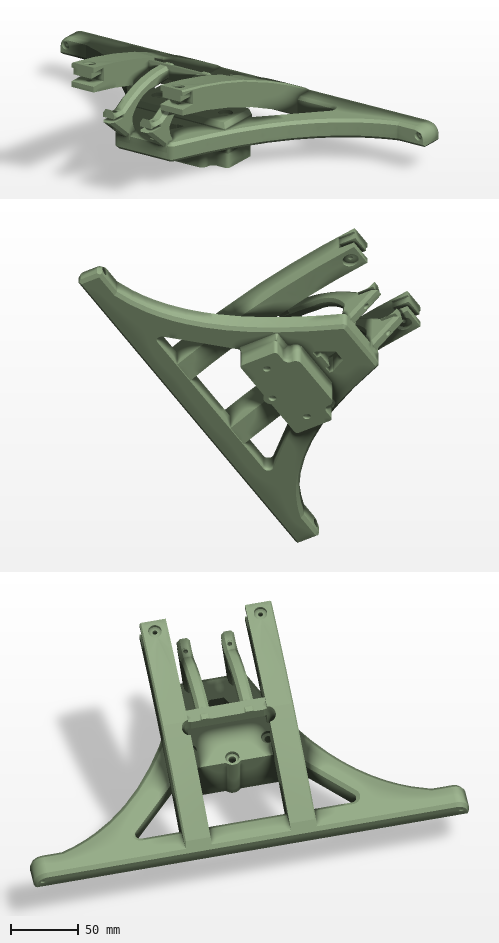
import cadquery as cq
import math


part_depth = 173.75
part_height = 87.83

plate_width = 330.0
plate_depth = 150.0
plate_thickness = 15.0
beam_depth = 20.0
wing_points = [(51.0, -97.0), (88.5, -49.5), (140.0, -beam_depth)]
nose_half_width = 25.5
nose_corner_radius = 4.0
tip_radius = 10.0
bevel_run = 3.0
bevel_drop = 2.0
bottom_bevel = 2.5

window_back_half_width = 89.0
window_front_half_width = 42.5
window_front_y = -69.0
window_corner_radius = 4.0

opening_back_y = -114.5
opening_side_y = -117.5
opening_front_y = -130.0
opening_half_width = 12.5
opening_front_half_width = 5.5
lip_width = 13.0
lip_top_y = -115.8
lip_bottom_y = -118.0

tip_hole_inset = 6.5
tip_hole_diameter = 3.6
tip_bore_diameter = 6.5
tip_bore_depth = 3.0

pad_half_width = 42.5
pad_front_y = -104.5
pad_height = 5.0
pad_bevel_run = 2.5
pad_bevel_drop = 4.0
block_height = 17.0
block_lobe_y = -100.4
block_front_y = -110.4
block_front_half_width = 27.5
block_step_radius = 4.9
block_corner_radius = 2.5
lobe_flare_height = 5.0
lobe_flare_spread = 2.0
center_flare_height = 1.5
center_flare_spread = 0.5
boss_diameter = 13.5
back_screw_y = -73.0
back_bore_diameter = 10.5
side_screw_x = 30.0
side_screw_y = -85.3
side_bore_diameter = 11.0
block_screw_diameter = 5.8
block_bore_depth = 3.0

arm_inner_x = 30.0
arm_outer_x = 50.0
arm_end_y = -171.0
arm_top_z = part_height - block_height
arm_back_y = -7.6
arm_rear_arc_point = (-43.0, 34.6)
arm_flat_back = (-80.0, 48.6)
arm_flat_front = (-90.0, 52.2)
arm_front_arc_point = (-130.0, 63.0)
arm_underside = [(-20.0, 1.0), (-100.0, 33.9), (arm_end_y, 51.0)]
arm_bevel = 1.2
jaw_depth = 13.5
jaw_bottom_z = 55.5
jaw_top_z = 61.5
jaw_relief_z = 66.5
jaw_relief_width = 2.0
end_screw_y = -162.4
end_screw_diameter = 3.6
arm_screw_x = 40.0
arm_bore_diameter = 10.0
arm_bore_depth = 3.0
arm_nut_diameter = 12.0
arm_nut_top_z = 52.0

bar_back_y = -90.3
bar_front_y = -99.0
bar_bottom_z = 41.2
bar_back_z = 49.8
bar_front_z = 53.0

strut_inner_x = 11.7
strut_outer_x = 21.7
strut_bevel = 2.3
strut_start_z = 50.9
strut_top_arc_point = (-136.0, 46.2)
seat_back_y = -157.0
seat_front_y = -164.0
seat_z = 36.0
strut_lip_z = 40.5
strut_lip_arc_point = (-168.2, 37.5)
slot_back_y = -158.0
slot_bottom_z = 30.8
slot_top_z = 33.6
strut_foot_z = 12.0
strut_foot_bottom_z = 7.5
strut_foot_overhang = 0.5
throat_start = (-119.0, 39.8)
throat_upper_point = (-136.0, 35.5)
throat_front = (-144.4, 27.0)
throat_lower_point = (-143.0, 20.0)
throat_end = (-136.0, 13.0)
strut_bore_diameter = 5.8


def extrude_x(profile, x_start, x_end):
    """Extrude a profile drawn in the YZ plane between two X positions."""
    return profile.extrude(x_end - x_start).translate((x_start, 0, 0))


def box_between(x_start, x_end, y_start, y_end, z_start, z_end):
    size = (x_end - x_start, y_end - y_start, z_end - z_start)
    return cq.Workplane("XY").box(*size, centered=False).translate((x_start, y_start, z_start))


def cylinder(x, y, z_low, z_high, diameter):
    return cq.Workplane("XY", origin=(x, y, z_low)).circle(diameter / 2).extrude(z_high - z_low)


def bevel_near(body, side, points, size):
    """Chamfer the edges of one X-facing side whose centres are closest to the (y, z) points."""
    face = body.faces(side)
    x = face.val().Center().x
    edges = [face.edges(cq.selectors.NearestToPointSelector((x, y, z))).val() for y, z in points]
    return body.newObject(edges).chamfer(size)


def both_sides(body):
    return body.union(body.mirror("YZ"))


def make_plate():
    half_width = plate_width / 2
    plate = (
        cq.Workplane("XY")
        .moveTo(0, -plate_depth)
        .lineTo(nose_half_width, -plate_depth)
        .spline(wing_points, includeCurrent=True)
        .lineTo(half_width, -beam_depth)
        .lineTo(half_width, 0)
        .lineTo(0, 0)
        .mirrorY()
        .extrude(plate_thickness)
    )
    plate = plate.faces("<X or >X").edges(">Z").fillet(tip_radius)
    for x in (-nose_half_width, nose_half_width):
        corner = cq.selectors.NearestToPointSelector((x, -plate_depth, plate_thickness / 2))
        plate = plate.edges("|Z").edges(corner).fillet(nose_corner_radius)
    plate = plate.faces("<Z").edges().chamfer(bottom_bevel)
    return plate.faces(">Z").edges("not |Y").chamfer(bevel_drop, bevel_run)


def make_window():
    """Through opening whose walls lean outwards over the bevel height at the top."""
    window = (
        cq.Workplane("XY")
        .moveTo(0, -beam_depth)
        .lineTo(window_back_half_width, -beam_depth)
        .lineTo(window_front_half_width, window_front_y)
        .lineTo(0, window_front_y)
        .mirrorY()
        .extrude(plate_thickness - bevel_drop)
    )
    window = window.edges("|Z and (<X or >X)").fillet(window_corner_radius)
    bevel_angle = math.degrees(math.atan2(bevel_run, bevel_drop))
    return window.faces(">Z").wires().toPending().workplane().extrude(bevel_drop, taper=-bevel_angle)


def make_nose_opening():
    opening = (
        cq.Workplane("XY")
        .moveTo(0, opening_back_y)
        .lineTo(opening_half_width, opening_back_y)
        .lineTo(opening_half_width, opening_side_y)
        .lineTo(opening_front_half_width, opening_front_y)
        .lineTo(0, opening_front_y)
        .mirrorY()
        .extrude(plate_thickness)
    )
    lip_profile = cq.Workplane("YZ").polyline(
        [
            (opening_back_y, 0),
            (lip_bottom_y, 0),
            (lip_top_y, plate_thickness),
            (opening_back_y, plate_thickness),
        ]
    ).close()
    return opening.cut(extrude_x(lip_profile, -lip_width / 2, lip_width / 2))


def make_pad():
    pad = box_between(
        -pad_half_width,
        pad_half_width,
        pad_front_y,
        window_front_y,
        plate_thickness / 2,
        plate_thickness + pad_height,
    )
    return pad.faces(">Z").edges("not >Y").chamfer(pad_bevel_drop, pad_bevel_run)


def make_flare(half_width, front_y, height, spread):
    """Skirt just under the plate that widens by the spread as it rises to z = 0."""
    depth = window_front_y - spread - front_y
    middle_y = front_y + depth / 2
    angle = math.degrees(math.atan2(spread, height))
    skirt = cq.Workplane("XY", origin=(0, middle_y, -height))
    return skirt.rect(2 * half_width, depth).extrude(height, taper=-angle)


def make_block():
    """Lobed block under the plate; its sides flare out where they meet the plate."""
    block = (
        cq.Workplane("XY", origin=(0, 0, -block_height))
        .moveTo(0, block_front_y)
        .lineTo(block_front_half_width, block_front_y)
        .lineTo(block_front_half_width, block_lobe_y)
        .lineTo(pad_half_width, block_lobe_y)
        .lineTo(pad_half_width, window_front_y)
        .lineTo(0, window_front_y)
        .mirrorY()
        .extrude(block_height + plate_thickness / 2)
    )
    block = block.edges("|Z and (<X or >X)").fillet(block_corner_radius)
    step_edges = cq.selectors.BoxSelector(
        (-pad_half_width + block_step_radius, block_front_y - 1, -block_height),
        (pad_half_width - block_step_radius, block_lobe_y + 1, plate_thickness),
    )
    block = block.edges("|Z").edges(step_edges).fillet(block_step_radius)
    lobes = make_flare(pad_half_width, block_lobe_y, lobe_flare_height, lobe_flare_spread)
    center_half_width = block_front_half_width - block_step_radius
    center = make_flare(
        center_half_width, block_front_y, center_flare_height, center_flare_spread
    )
    return block.union(lobes).union(center)


def make_boss():
    return cylinder(0, back_screw_y, -block_height, plate_thickness + pad_height, boss_diameter)


def make_arm():
    bevel_slope = bevel_drop / bevel_run
    back_z = plate_thickness + bevel_slope * (-arm_back_y - bevel_run)
    start, middle, end = arm_underside
    profile = (
        cq.Workplane("YZ")
        .moveTo(-bevel_run, plate_thickness)
        .lineTo(arm_back_y, back_z)
        .threePointArc(arm_rear_arc_point, arm_flat_back)
        .lineTo(*arm_flat_front)
        .threePointArc(arm_front_arc_point, (arm_end_y, arm_top_z))
        .lineTo(*end)
        .threePointArc(middle, start)
        .lineTo(-beam_depth / 2, start[1])
        .close()
    )
    arm = extrude_x(profile, arm_inner_x, arm_outer_x)
    flat_middle = tuple((back + front) / 2 for back, front in zip(arm_flat_back, arm_flat_front))
    top_points = [arm_rear_arc_point, flat_middle, arm_front_arc_point]
    return bevel_near(arm, ">X", top_points, arm_bevel)


def make_jaw():
    """Slot in the front end of an arm, with side reliefs on its upper jaw."""
    jaw_back_y = arm_end_y + jaw_depth
    jaw = box_between(arm_inner_x, arm_outer_x, arm_end_y, jaw_back_y, jaw_bottom_z, jaw_top_z)
    for x in (arm_inner_x, arm_outer_x - jaw_relief_width):
        x_end = x + jaw_relief_width
        jaw = jaw.union(box_between(x, x_end, arm_end_y, jaw_back_y, jaw_top_z, jaw_relief_z))
    return jaw


def make_bar():
    profile = (
        cq.Workplane("YZ")
        .moveTo(bar_back_y, bar_bottom_z)
        .lineTo(bar_back_y, bar_back_z)
        .lineTo(bar_front_y, bar_front_z)
        .lineTo(bar_front_y, bar_bottom_z)
        .close()
    )
    return extrude_x(profile, -arm_inner_x, arm_inner_x)


def make_strut():
    profile = (
        cq.Workplane("YZ")
        .moveTo(bar_back_y, bar_bottom_z)
        .lineTo(bar_back_y, strut_start_z)
        .threePointArc(strut_top_arc_point, (seat_back_y, seat_z))
        .lineTo(seat_front_y, seat_z)
        .threePointArc(strut_lip_arc_point, (arm_end_y, strut_lip_z))
        .lineTo(arm_end_y, slot_top_z)
        .lineTo(slot_back_y, slot_top_z)
        .lineTo(slot_back_y, slot_bottom_z)
        .lineTo(-part_depth, slot_bottom_z)
        .lineTo(-plate_depth - strut_foot_overhang, strut_foot_z)
        .lineTo(-plate_depth, strut_foot_bottom_z)
        .lineTo(throat_end[0], strut_foot_bottom_z)
        .lineTo(*throat_end)
        .threePointArc(throat_lower_point, throat_front)
        .threePointArc(throat_upper_point, throat_start)
        .close()
    )
    strut = extrude_x(profile, strut_inner_x, strut_outer_x)
    throat_back = (throat_start[0] + bar_back_y) / 2
    top_middle = ((bar_back_y + seat_back_y) / 2, strut_start_z)
    foot_middle = (-(part_depth + plate_depth) / 2, (slot_bottom_z + strut_foot_z) / 2)
    edge_points = [
        top_middle,
        strut_lip_arc_point,
        foot_middle,
        throat_lower_point,
        throat_upper_point,
        (throat_back, bar_bottom_z),
    ]
    for side in ("<X", ">X"):
        strut = bevel_near(strut, side, edge_points, strut_bevel)
    return strut


def drill_tips(body):
    x = plate_width / 2 - tip_hole_inset
    z = plate_thickness - tip_hole_inset
    front = cq.Workplane("XZ", origin=(0, -beam_depth, 0)).pushPoints([(-x, z), (x, z)])
    hole = front.circle(tip_hole_diameter / 2).extrude(-beam_depth)
    bore = front.circle(tip_bore_diameter / 2).extrude(-tip_bore_depth)
    return body.cut(hole).cut(bore)


def drill_block(body):
    pad_top_z = plate_thickness + pad_height
    bore_bottom_z = pad_top_z - block_bore_depth
    for x, y, bore_diameter in (
        (0, back_screw_y, back_bore_diameter),
        (-side_screw_x, side_screw_y, side_bore_diameter),
        (side_screw_x, side_screw_y, side_bore_diameter),
    ):
        body = body.cut(cylinder(x, y, -block_height, pad_top_z, block_screw_diameter))
        body = body.cut(cylinder(x, y, bore_bottom_z, arm_top_z, bore_diameter))
    return body


def drill_ends(body):
    strut_x = (strut_inner_x + strut_outer_x) / 2
    arm_bore_z = arm_top_z - arm_bore_depth
    for side in (-1, 1):
        x = side * arm_screw_x
        body = body.cut(cylinder(x, end_screw_y, bar_bottom_z, arm_top_z, end_screw_diameter))
        body = body.cut(cylinder(x, end_screw_y, arm_bore_z, arm_top_z, arm_bore_diameter))
        body = body.cut(cylinder(x, end_screw_y, bar_bottom_z, arm_nut_top_z, arm_nut_diameter))
        x = side * strut_x
        body = body.cut(cylinder(x, end_screw_y, plate_thickness, bar_bottom_z, end_screw_diameter))
        body = body.cut(cylinder(x, end_screw_y, seat_z, bar_bottom_z, strut_bore_diameter))
    return body


frame = make_plate().cut(make_window())
frame = frame.union(make_pad()).union(make_block()).union(make_boss())
frame = frame.cut(make_nose_opening())
frame = frame.union(both_sides(make_arm().cut(make_jaw())))
frame = frame.union(make_bar()).union(both_sides(make_strut()))
frame = drill_tips(frame)
frame = drill_block(frame)
result = drill_ends(frame)